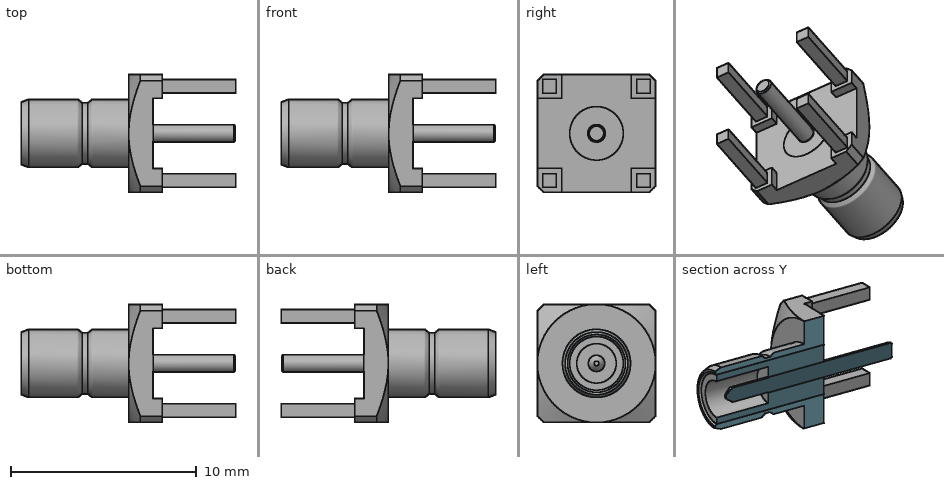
import cadquery as cq
import math

LENGTH = 11.55

BARREL_R = 1.84
MOUTH_R = 1.69
MOUTH_TAPER = 0.39
BORE_R = 1.44
LEAD_IN_R = 1.56
LEAD_IN_DEPTH = 0.1

GROOVE_R = 1.65
GROOVE_FLOOR_START = 3.28
GROOVE_FLOOR_LENGTH = 0.31
GROOVE_WALL_RUN = 0.2
GROOVE_EDGE_RUN = 0.07
GROOVE_EDGE_DROP = 0.02

FLANGE_SIDE = 6.36
FLANGE_FRONT = 5.79
FLANGE_BACK = 7.6
FLANGE_CORNER = 0.35
FLANGE_BEVEL_ANGLE = 30.0
RELIEF_DEPTH = 0.5
RELIEF_WIDTH = 3.77

LEG_SIDE = 0.74
LEG_SPACING = 5.07

INSULATOR_FRONT = LEAD_IN_DEPTH
POCKET_R = 1.06
POCKET_FLOOR = 3.46

TAIL_R = 0.47
CONTACT_R = 0.44
CONTACT_TIP = 0.74
CONE_END_R = 0.27
CONE_LENGTH = 0.25
NOSE_FLAT_R = 0.13
NOSE_LENGTH = 0.17
PIN_END = 11.53
PIN_END_CHAMFER = 0.08

SEAT_FACE = FLANGE_BACK - RELIEF_DEPTH


def revolve_about_x(profile):
    """Revolve a closed XY profile a full turn about the X axis."""
    return profile.close().revolve(360, (0, 0, 0), (1, 0, 0))


def along_x(start):
    """Workplane at X = start, facing +X."""
    return cq.Workplane("YZ", origin=(start, 0, 0))


def make_barrel():
    floor_end = GROOVE_FLOOR_START + GROOVE_FLOOR_LENGTH
    wall_start = GROOVE_FLOOR_START - GROOVE_WALL_RUN
    wall_end = floor_end + GROOVE_WALL_RUN
    edge_r = BARREL_R - GROOVE_EDGE_DROP
    rounding_r = (GROOVE_EDGE_RUN**2 + GROOVE_EDGE_DROP**2) / (2 * GROOVE_EDGE_DROP)
    profile = (
        cq.Workplane("XY")
        .moveTo(0, 0)
        .lineTo(0, MOUTH_R)
        .lineTo(MOUTH_TAPER, BARREL_R)
        .lineTo(wall_start - GROOVE_EDGE_RUN, BARREL_R)
        .radiusArc((wall_start, edge_r), rounding_r)
        .lineTo(GROOVE_FLOOR_START, GROOVE_R)
        .lineTo(floor_end, GROOVE_R)
        .lineTo(wall_end, edge_r)
        .radiusArc((wall_end + GROOVE_EDGE_RUN, BARREL_R), rounding_r)
        .lineTo(FLANGE_FRONT, BARREL_R)
        .lineTo(FLANGE_FRONT, 0)
    )
    return revolve_about_x(profile)


def make_flange():
    thickness = FLANGE_BACK - FLANGE_FRONT
    block = (
        along_x(FLANGE_FRONT)
        .rect(FLANGE_SIDE, FLANGE_SIDE)
        .extrude(thickness)
        .edges("|X")
        .chamfer(FLANGE_CORNER)
    )

    inner_r = FLANGE_SIDE / 2
    outer_r = FLANGE_SIDE / math.sqrt(2)
    bevel_run = (outer_r - inner_r) * math.tan(math.radians(FLANGE_BEVEL_ANGLE))
    envelope = revolve_about_x(
        cq.Workplane("XY")
        .moveTo(FLANGE_FRONT, 0)
        .lineTo(FLANGE_FRONT, inner_r)
        .lineTo(FLANGE_FRONT + bevel_run, outer_r)
        .lineTo(FLANGE_BACK, outer_r)
        .lineTo(FLANGE_BACK, 0)
    )
    flange = block.intersect(envelope)

    for channel_y, channel_z in ((RELIEF_WIDTH, FLANGE_SIDE), (FLANGE_SIDE, RELIEF_WIDTH)):
        channel = along_x(SEAT_FACE).rect(channel_y, channel_z).extrude(RELIEF_DEPTH)
        flange = flange.cut(channel)
    return flange


def make_legs():
    return (
        along_x(FLANGE_BACK)
        .rarray(LEG_SPACING, LEG_SPACING, 2, 2)
        .rect(LEG_SIDE, LEG_SIDE)
        .extrude(LENGTH - FLANGE_BACK)
    )


def make_housing():
    bore = revolve_about_x(
        cq.Workplane("XY")
        .moveTo(0, 0)
        .lineTo(0, LEAD_IN_R)
        .lineTo(LEAD_IN_DEPTH, BORE_R)
        .lineTo(SEAT_FACE, BORE_R)
        .lineTo(SEAT_FACE, 0)
    )
    return make_barrel().union(make_flange()).union(make_legs()).cut(bore)


def make_insulator():
    body = along_x(INSULATOR_FRONT).circle(BORE_R).extrude(SEAT_FACE - INSULATOR_FRONT)
    pocket = along_x(INSULATOR_FRONT).circle(POCKET_R).extrude(POCKET_FLOOR - INSULATOR_FRONT)
    pin_hole = along_x(POCKET_FLOOR).circle(CONTACT_R).extrude(SEAT_FACE - POCKET_FLOOR)
    return body.cut(pocket).cut(pin_hole)


def make_pin():
    cone_start = CONTACT_TIP + NOSE_LENGTH
    profile = (
        cq.Workplane("XY")
        .moveTo(CONTACT_TIP, 0)
        .lineTo(CONTACT_TIP, NOSE_FLAT_R)
        .lineTo(cone_start, CONE_END_R)
        .lineTo(cone_start + CONE_LENGTH, CONTACT_R)
        .lineTo(SEAT_FACE, CONTACT_R)
        .lineTo(SEAT_FACE, TAIL_R)
        .lineTo(PIN_END - PIN_END_CHAMFER, TAIL_R)
        .lineTo(PIN_END, TAIL_R - PIN_END_CHAMFER)
        .lineTo(PIN_END, 0)
    )
    return revolve_about_x(profile)


housing = make_housing()
insulator = make_insulator()
pin = make_pin()

result = cq.Compound.makeCompound([housing.val(), insulator.val(), pin.val()])